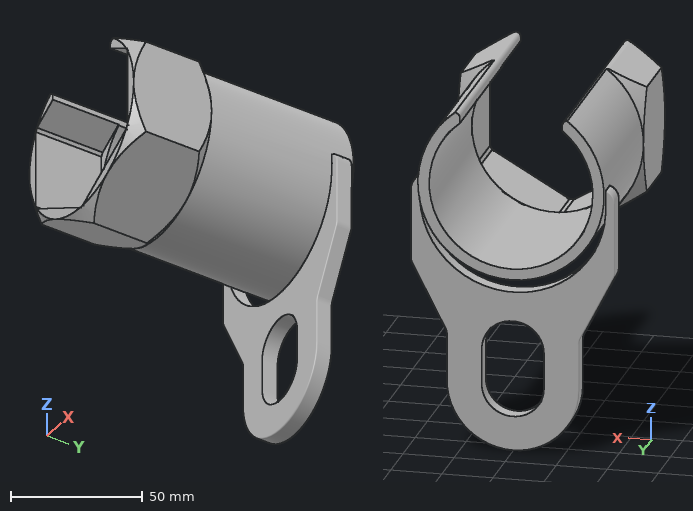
import cadquery as cq
import math

OVERALL_HEIGHT = 135.1
LENGTH = 100.0
OUTER_RADIUS = 36.5
BORE_RADIUS = 32.0
NUT_LENGTH = 35.4
HEX_RECESS_DEPTH = 29.9
SLOT_HALF_WIDTH = 20.0
LIP_FILLET = 2.0

PLATE_THICKNESS = 7.0
PLATE_BACK_GAP = 3.0
PLATE_HALF_WIDTH = 40.0
PLATE_TOP_Z = 1.6
SADDLE_DROP = 5.8
SHOULDER_Z = -32.8
NECK_Z = -60.1
LUG_RADIUS = 26.0
EYE_RADIUS = 12.2
EYE_CENTER_SPACING = 13.9
TOP_CORNER_FILLET = 5.4
SIDE_CORNER_FILLET = 4.7
PLATE_EDGE_FILLET = 0.5

HEX_CORNER_RATIO = 1 / math.cos(math.pi / 6)
CORNER_RADIUS = OUTER_RADIUS * HEX_CORNER_RATIO
NUT_CHAMFER = CORNER_RADIUS - OUTER_RADIUS

LIP_CENTER_X = SLOT_HALF_WIDTH + LIP_FILLET
LIP_CENTER_Z = (OUTER_RADIUS - LIP_FILLET) * HEX_CORNER_RATIO - LIP_CENTER_X * math.tan(math.pi / 6)
LIP_TOP_Z = LIP_CENTER_Z + LIP_FILLET
LUG_CENTER_Z = LIP_TOP_Z - OVERALL_HEIGHT + LUG_RADIUS


def extrude_along_y(sketch, start, length):
    """Extrude a closed XZ sketch toward +Y from Y = start."""
    return sketch.extrude(-length).translate((0, start, 0))


def disc(radius, start, length):
    return extrude_along_y(cq.Workplane("XZ").circle(radius), start, length)


def hex_prism(half_flats, length):
    """Hexagonal prism from Y = 0 with corners at the top and bottom."""
    corner_radius = half_flats * HEX_CORNER_RATIO
    corners = []
    for i in range(6):
        angle = math.radians(90 + 60 * i)
        corners.append((corner_radius * math.cos(angle), corner_radius * math.sin(angle)))
    return extrude_along_y(cq.Workplane("XZ").polyline(corners).close(), 0, length)


def make_turned_blank():
    """Round barrel with a larger collar, chamfered at both ends, for the nut."""
    return (
        cq.Workplane("XY")
        .moveTo(0, 0)
        .lineTo(OUTER_RADIUS, 0)
        .lineTo(CORNER_RADIUS, NUT_CHAMFER)
        .lineTo(CORNER_RADIUS, NUT_LENGTH - NUT_CHAMFER)
        .lineTo(OUTER_RADIUS, NUT_LENGTH)
        .lineTo(OUTER_RADIUS, LENGTH)
        .lineTo(0, LENGTH)
        .close()
        .revolve(360, (0, 0, 0), (0, 1, 0))
    )


def make_socket():
    slot = cq.Workplane("XY").box(
        2 * SLOT_HALF_WIDTH, LENGTH, CORNER_RADIUS, centered=(True, False, False)
    )
    slotted_hex = hex_prism(OUTER_RADIUS, LENGTH).cut(slot)
    lips = slotted_hex.edges(
        cq.selectors.BoxSelector(
            (-SLOT_HALF_WIDTH - LIP_FILLET, 0, BORE_RADIUS / 2),
            (SLOT_HALF_WIDTH + LIP_FILLET, LENGTH, CORNER_RADIUS),
        )
    ).edges("|Y")
    body = lips.fillet(LIP_FILLET).intersect(make_turned_blank())

    recess = hex_prism(BORE_RADIUS, HEX_RECESS_DEPTH).intersect(
        disc(OUTER_RADIUS, 0, HEX_RECESS_DEPTH)
    )
    return body.cut(disc(BORE_RADIUS, 0, LENGTH)).cut(recess)


def make_plate():
    start = LENGTH - PLATE_BACK_GAP - PLATE_THICKNESS
    outline = (
        cq.Workplane("XZ")
        .moveTo(-PLATE_HALF_WIDTH, PLATE_TOP_Z)
        .lineTo(PLATE_HALF_WIDTH, PLATE_TOP_Z)
        .lineTo(PLATE_HALF_WIDTH, SHOULDER_Z)
        .lineTo(LUG_RADIUS, NECK_Z)
        .lineTo(LUG_RADIUS, LUG_CENTER_Z)
        .threePointArc((0, LUG_CENTER_Z - LUG_RADIUS), (-LUG_RADIUS, LUG_CENTER_Z))
        .lineTo(-LUG_RADIUS, NECK_Z)
        .lineTo(-PLATE_HALF_WIDTH, SHOULDER_Z)
        .close()
    )
    plate = extrude_along_y(outline, start, PLATE_THICKNESS)

    middle_y = start + PLATE_THICKNESS / 2
    corner_fillets = (
        (PLATE_HALF_WIDTH, PLATE_TOP_Z, TOP_CORNER_FILLET),
        (PLATE_HALF_WIDTH, SHOULDER_Z, SIDE_CORNER_FILLET),
        (LUG_RADIUS, NECK_Z, SIDE_CORNER_FILLET),
    )
    for x, z, radius in corner_fillets:
        for side in (-1, 1):
            corner = cq.selectors.NearestToPointSelector((side * x, middle_y, z))
            plate = plate.edges("|Y").edges(corner).fillet(radius)
    plate = plate.faces("<Y or >Y").edges().fillet(PLATE_EDGE_FILLET)

    saddle = disc(OUTER_RADIUS, start, PLATE_THICKNESS).translate((0, 0, -SADDLE_DROP))
    eye_sketch = (
        cq.Workplane("XZ")
        .center(0, LUG_CENTER_Z + EYE_CENTER_SPACING / 2)
        .slot2D(EYE_CENTER_SPACING + 2 * EYE_RADIUS, 2 * EYE_RADIUS, 90)
    )
    eye = extrude_along_y(eye_sketch, start, PLATE_THICKNESS)
    return plate.cut(saddle).cut(eye)


result = make_socket().union(make_plate())